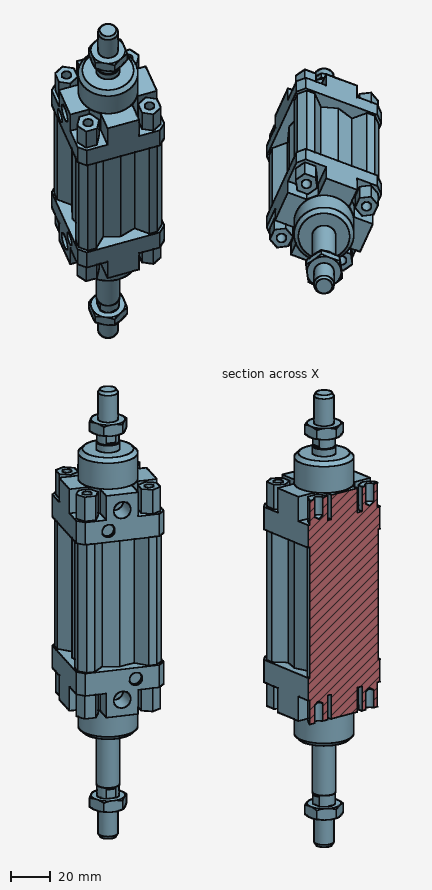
import cadquery as cq
import math

total_length = 240.0
rod_top = total_length / 2
rod_bottom = -total_length / 2

rod_diameter = 12.0
neck_down_diameter = 11.3
thread_diameter = 10.0
thread_tip_chamfer_width = 1.0
thread_tip_chamfer_height = 1.7
shoulder_height = 92.2
shoulder_chamfer = (rod_diameter - neck_down_diameter) / 2
flats_start = 93.0
flat_spacing = thread_diameter

nut_across_flats = 17.0
nut_thickness = 6.0
nut_inner_face = 98.0
nut_chamfer_rise = 0.7

housing_center_z = 12.5
neck_face = 75.5
neck_length = 16.0
neck_diameter = 30.0
neck_chamfer = 2.2
cap_length = 25.0
cap_size = 46.0
corner_chamfer = 3.5
pocket_depth = 13.0
cross_half_width = 8.5
recess_bevel = 4.5

cap_face = neck_face - neck_length
pocket_floor = cap_face - pocket_depth
cap_inner_face = cap_face - cap_length

barrel_half = 22.0
groove_half_mouth = 14.2
groove_half_floor = 8.5
groove_depth = groove_half_mouth - groove_half_floor
ridge_depth = 3.0

tie_offset = 16.3
tie_across_flats = 10.0
tie_hole_diameter = 4.8
tie_hole_depth = 9.5
drill_point_angle = 118.0

port_diameter = 9.0
port_depth = 12.0
port_from_cap_face = 8.6
screw_diameter = 6.7
screw_depth = 2.0
screw_from_cap_face = 19.0
screw_offset_x = 7.2


def across_corners(across_flats):
    return across_flats / math.cos(math.pi / 6)


def cylinder(diameter, z_start, z_end):
    return cq.Workplane("XY").workplane(offset=z_start).circle(diameter / 2).extrude(z_end - z_start)


def make_rod():
    shank_r = rod_diameter / 2
    collar_r = neck_down_diameter / 2
    thread_r = thread_diameter / 2
    tip_r = thread_r - thread_tip_chamfer_width
    half_profile = [
        (shank_r, shoulder_height - shoulder_chamfer),
        (collar_r, shoulder_height),
        (collar_r, nut_inner_face),
        (thread_r, nut_inner_face),
        (thread_r, rod_top - thread_tip_chamfer_height),
        (tip_r, rod_top),
    ]
    mirrored = [(r, -z) for r, z in reversed(half_profile)]
    profile = [(0, rod_bottom)] + mirrored + half_profile + [(0, rod_top)]
    rod = cq.Workplane("XZ").polyline(profile).close().revolve(360, (0, 0, 0), (0, 1, 0))
    flat_length = nut_inner_face - flats_start
    for end in (1, -1):
        for side in (1, -1):
            cutter = cq.Workplane("XY").box(rod_diameter, rod_diameter, flat_length).translate(
                (0, side * (flat_spacing + rod_diameter) / 2, end * (flats_start + flat_length / 2))
            )
            rod = rod.cut(cutter)
    return rod


def make_lock_nut(end):
    """Bevelled hexagon nut on the upper (end = 1) or lower (end = -1) thread."""
    corners = across_corners(nut_across_flats)
    blank = cq.Workplane("XY").polygon(6, corners).extrude(nut_thickness)
    bevel_run = nut_chamfer_rise / math.tan(math.pi / 6)
    bevel = cq.Workplane("XY").circle(corners / 2).extrude(nut_thickness)
    bevel = bevel.faces("<Z or >Z").chamfer(nut_chamfer_rise, bevel_run)
    nut = blank.intersect(bevel).cut(cylinder(thread_diameter, 0, nut_thickness))
    nut = nut.translate((0, 0, nut_inner_face))
    if end < 0:
        nut = nut.mirror("XY")
    return nut


def make_barrel():
    side = [
        (-(barrel_half - corner_chamfer), -barrel_half),
        (-groove_half_mouth, -barrel_half),
        (-groove_half_floor, groove_depth - barrel_half),
        (0, ridge_depth - barrel_half),
        (groove_half_floor, groove_depth - barrel_half),
        (groove_half_mouth, -barrel_half),
        (barrel_half - corner_chamfer, -barrel_half),
    ]
    outline = []
    for quarter in range(4):
        c = round(math.cos(quarter * math.pi / 2))
        s = round(math.sin(quarter * math.pi / 2))
        outline += [(c * x - s * y, s * x + c * y) for x, y in side]
    return (
        cq.Workplane("XY").workplane(offset=-cap_inner_face)
        .polyline(outline).close().extrude(2 * cap_inner_face)
    )


def make_tie_hole():
    """Blind drilled hole with a conical bottom, opening at the cap face."""
    radius = tie_hole_diameter / 2
    point_length = radius / math.tan(math.radians(drill_point_angle / 2))
    profile = [
        (0, cap_face),
        (radius, cap_face),
        (radius, cap_face - tie_hole_depth),
        (0, cap_face - tie_hole_depth - point_length),
    ]
    return cq.Workplane("XZ").polyline(profile).close().revolve(360, (0, 0, 0), (0, 1, 0))


def make_cap():
    """Upper cap: block with corner recesses, round neck and four tie nuts."""
    cap = (
        cq.Workplane("XY").workplane(offset=cap_inner_face)
        .rect(cap_size, cap_size).extrude(cap_length)
        .edges("|Z").chamfer(corner_chamfer)
    )
    recess_near = cross_half_width
    recess_bevelled = cross_half_width + recess_bevel
    recess_far = cap_size / 2
    recess = (
        cq.Workplane("XY").workplane(offset=pocket_floor)
        .polyline([
            (recess_bevelled, recess_near),
            (recess_far, recess_near),
            (recess_far, recess_far),
            (recess_near, recess_far),
            (recess_near, recess_bevelled),
        ])
        .close().extrude(pocket_depth)
    )
    for quarter in range(4):
        cap = cap.cut(recess.rotate((0, 0, 0), (0, 0, 1), 90 * quarter))
    neck = cylinder(neck_diameter, cap_face, neck_face).faces(">Z").chamfer(neck_chamfer)
    cap = cap.union(neck)
    for x_side in (1, -1):
        for y_side in (1, -1):
            turn = 30 if x_side != y_side else 0
            place = (x_side * tie_offset, y_side * tie_offset, 0)
            tie_nut = (
                cq.Workplane("XY").workplane(offset=pocket_floor)
                .polygon(6, across_corners(tie_across_flats)).extrude(pocket_depth)
                .rotate((0, 0, 0), (0, 0, 1), turn)
            )
            cap = cap.union(tie_nut.translate(place)).cut(make_tie_hole().translate(place))
    return cap


def blind_hole(diameter, depth, x, z):
    """Flat-bottomed hole sunk into the -Y face of a cap."""
    return (
        cq.Workplane("XZ", origin=(x, -cap_size / 2, z))
        .circle(diameter / 2).extrude(-depth)
    )


def make_housing():
    upper_cap = make_cap()
    housing = make_barrel().union(upper_cap).union(upper_cap.mirror("XY"))
    for end in (1, -1):
        port_z = end * (cap_face - port_from_cap_face)
        screw_z = end * (cap_face - screw_from_cap_face)
        housing = housing.cut(blind_hole(port_diameter, port_depth, 0, port_z))
        housing = housing.cut(blind_hole(screw_diameter, screw_depth, -end * screw_offset_x, screw_z))
    rod_bore = cylinder(rod_diameter, -neck_face, neck_face)
    return housing.cut(rod_bore).translate((0, 0, housing_center_z))


housing = make_housing()
rod = make_rod()
lock_nuts = [make_lock_nut(end) for end in (1, -1)]

result = cq.Compound.makeCompound([housing.val(), rod.val(), *[nut.val() for nut in lock_nuts]])